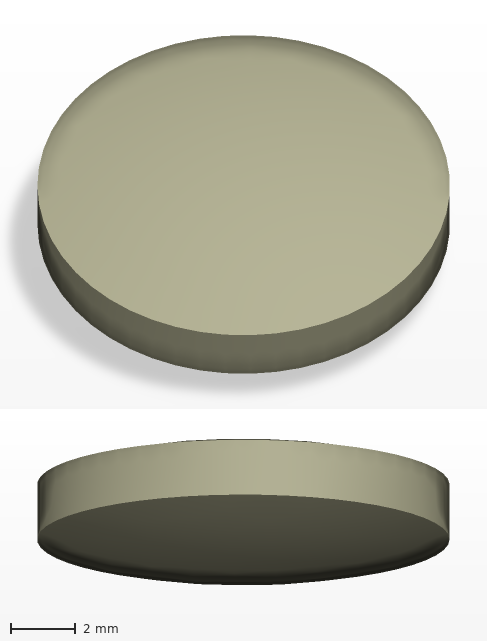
import cadquery as cq

diameter = 12.7
edge_thickness = 1.73
center_thickness = 3.5

radius = diameter / 2
cap_height = (center_thickness - edge_thickness) / 2
sphere_radius = (radius**2 + cap_height**2) / (2 * cap_height)
sphere_offset = sphere_radius - center_thickness / 2


def face_sphere(center_z):
    """Ball whose surface forms one face of the lens, with its poles along Y."""
    ball = cq.Workplane("XZ").sphere(sphere_radius)
    return ball.translate((0, 0, center_z))


blank = cq.Workplane("XY").cylinder(center_thickness, radius)
upper_face_ball = face_sphere(-sphere_offset)
lower_face_ball = face_sphere(sphere_offset)
result = blank.intersect(upper_face_ball).intersect(lower_face_ball)